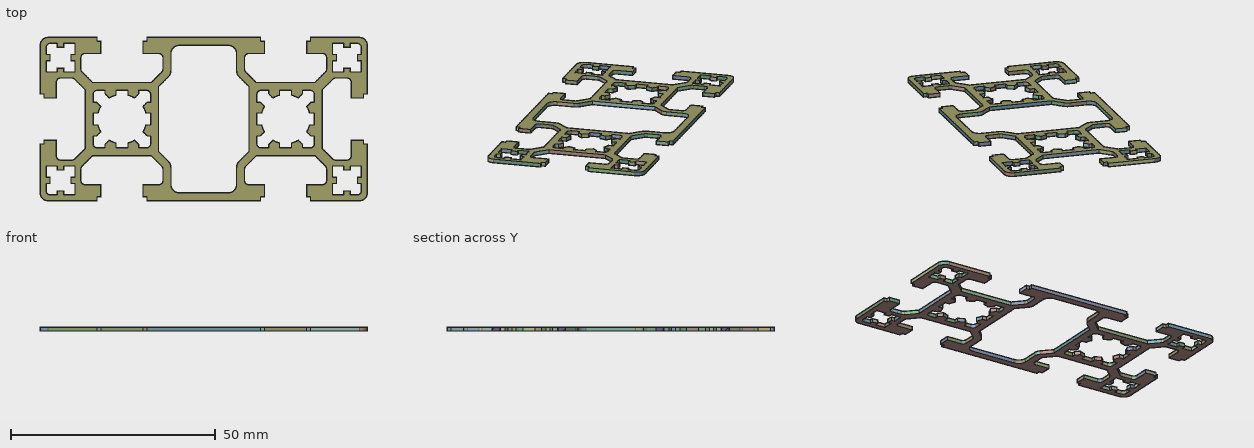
import cadquery as cq
import math

length = 80.0
width = 40.0
thickness = 1.0
corner_radius = 2.0
wall = 2.0

core_offset = length / 4
core_size = 18.0
core_half = core_size / 2
core_hole = core_size - 2 * wall
core_hole_radius = 1.0

bore_radius = 6.0
tooth_inner = 1.4
tooth_outer = 4.2
tooth_shoulder = 0.8

mouth_half = 6.1
throat_half = 5.1
mouth_step = 1.0
lip_thickness = 4.0
slot_half = 10.0
slot_floor_half = 7.2
slot_depth = width / 2 - core_half
slot_radius = 1.0

cavity_half_x = core_offset - slot_half - wall
cavity_half_y = width / 2 - wall
cavity_waist_half_x = core_offset - core_half
cavity_waist_half_y = core_size - slot_floor_half - wall * math.sqrt(2)
cavity_radius = 2.0

corner_wall = 1.5
corner_hole = 7.0
corner_hole_offset = corner_wall + corner_hole / 2
corner_hole_radius = 1.0
tab_width = 1.6
tab_height = 1.0


def make_box(size_x, size_y):
    return cq.Workplane("XY").rect(size_x, size_y).extrude(thickness)


def turn(body, angle):
    return body.rotate((0, 0, 0), (0, 0, 1), angle)


def make_slot():
    """T-slot cutter with its mouth at Y = 0 and its floor towards -Y."""
    shoulder_depth = slot_depth - (slot_half - slot_floor_half)
    right_side = [
        (mouth_half, 0),
        (mouth_half, -mouth_step),
        (throat_half, -mouth_step),
        (throat_half, -lip_thickness),
        (slot_half, -lip_thickness),
        (slot_half, -shoulder_depth),
        (slot_floor_half, -slot_depth),
    ]
    left_side = [(-x, y) for x, y in reversed(right_side)]
    slot = cq.Workplane("XY").polyline(right_side + left_side).close().extrude(thickness)
    return slot.edges("|Z").edges(">X or <X").fillet(slot_radius)


def make_tooth():
    """Tooth on the +Y wall of a core hole, right of its middle."""
    root_y = core_hole / 2
    shoulder_y = root_y - tooth_shoulder
    rise = shoulder_y - tooth_outer
    tip_x = (math.sqrt(2 * bore_radius**2 - rise**2) - rise) / 2
    middle_x = (tip_x + tooth_inner) / 2

    def on_bore(x):
        return (x, math.sqrt(bore_radius**2 - x**2))

    return (
        cq.Workplane("XY")
        .moveTo(tooth_inner, root_y)
        .lineTo(tooth_outer, root_y)
        .lineTo(tooth_outer, shoulder_y)
        .lineTo(*on_bore(tip_x))
        .threePointArc(on_bore(middle_x), on_bore(tooth_inner))
        .close()
        .extrude(thickness)
    )


def make_core_hole():
    """Square cutter that leaves a pair of teeth on each wall."""
    hole = make_box(core_hole, core_hole).edges("|Z").fillet(core_hole_radius)
    tooth = make_tooth()
    tooth_pair = tooth.union(tooth.mirror("YZ"))
    for quarter in range(4):
        hole = hole.cut(turn(tooth_pair, 90 * quarter))
    return hole


def make_corner_hole():
    """Square cutter that leaves four tabs, rounded only at its +X +Y corner."""
    hole = make_box(corner_hole, corner_hole).edges("|Z").edges(">(1, 1, 0)").fillet(corner_hole_radius)
    clear = corner_hole - 2 * tab_height
    tabs = make_box(tab_width, corner_hole).union(make_box(corner_hole, tab_width))
    return hole.cut(tabs.cut(make_box(clear, clear)))


def make_cavity():
    """Tall cavity whose middle widens at 45 degrees up to the core walls."""
    shoulder_half_y = cavity_waist_half_y + cavity_waist_half_x - cavity_half_x
    upper_right = [
        (cavity_waist_half_x, cavity_waist_half_y),
        (cavity_half_x, shoulder_half_y),
        (cavity_half_x, cavity_half_y),
    ]
    upper = upper_right + [(-x, y) for x, y in reversed(upper_right)]
    lower = [(-x, -y) for x, y in upper]
    cavity = cq.Workplane("XY").polyline(upper + lower).close().extrude(thickness)
    return cavity.edges("|Z").edges("not(>X or <X)").fillet(cavity_radius)


def make_right_cuts():
    """Everything removed from the +X half, apart from the central cavity."""
    slot = make_slot()
    corner_x = length / 2 - corner_hole_offset
    corner_y = width / 2 - corner_hole_offset
    side_slot = slot.translate((core_offset, width / 2, 0))
    upper_cuts = side_slot.union(make_corner_hole().translate((corner_x, corner_y, 0)))
    end_slot = turn(slot, -90).translate((length / 2, 0, 0))
    core_opening = make_core_hole().translate((core_offset, 0, 0))
    return core_opening.union(end_slot).union(upper_cuts).union(upper_cuts.mirror("XZ"))


profile = make_box(length, width).edges("|Z").fillet(corner_radius)
right_cuts = make_right_cuts()
result = profile.cut(make_cavity()).cut(right_cuts).cut(right_cuts.mirror("YZ"))